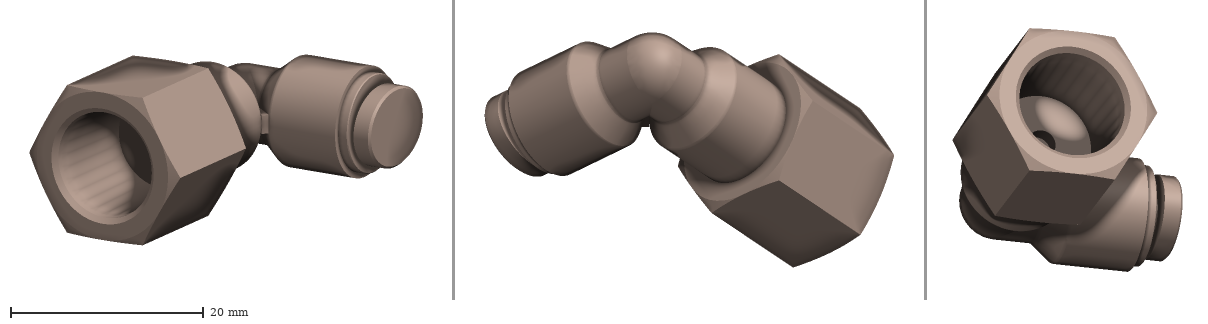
import cadquery as cq
import math


overall_length = 34.45

bend_diameter = 8.13
arm_diameter = 11.9
cone_start = 4.0
cone_end = 6.48
cone_blend_radius = 0.5
outlet_arm_length = 14.57
inlet_arm_length = 14.5
web_thickness = 2.0

nut_across_flats = 16.0
nut_edge_angle = 20
socket_mouth_diameter = 12.47
socket_thread_diameter = 11.4
socket_floor_diameter = 10.68
socket_depth = 12.0
socket_mouth_chamfer = 0.5
passage_diameter = 3.0

collar_diameter = 10.6
collar_length = 1.15
collar_edge_chamfer = 0.1

neck_diameter = 5.5
neck_length = 0.8
button_width = 10.82
button_height = 8.6
button_thickness = 2.0
button_edge_chamfer = 0.25

bend_radius = bend_diameter / 2
arm_radius = arm_diameter / 2
collar_end = outlet_arm_length + collar_length
button_start = collar_end + neck_length
nut_end = overall_length - arm_radius
nut_length = nut_end - inlet_arm_length


def make_arm(length):
    """Stepped arm along +X, with its narrow end at the bend centre."""
    arm = (
        cq.Workplane("XY")
        .polyline([
            (0, 0),
            (0, bend_radius),
            (cone_start, bend_radius),
            (cone_end, arm_radius),
            (length, arm_radius),
            (length, 0),
        ])
        .close()
        .revolve(360, (0, 0, 0), (1, 0, 0))
    )
    cone_edges = cq.selectors.BoxSelector(
        (cone_start - cone_blend_radius, -arm_diameter, -arm_diameter),
        (cone_end + cone_blend_radius, arm_diameter, arm_diameter),
    )
    return arm.edges(cone_edges).fillet(cone_blend_radius)


def make_web():
    """Thin plate that fills the inside corner between the two cones."""
    return (
        cq.Workplane("XY")
        .polyline([
            (0, 0),
            (cone_end, -arm_radius),
            (arm_radius, -cone_end),
        ])
        .close()
        .extrude(web_thickness / 2, both=True)
    )


def make_elbow():
    """Two mitred arms, rounded on the outside of the bend by a ball."""
    outlet_arm = make_arm(outlet_arm_length)
    inlet_arm = make_arm(inlet_arm_length).rotate((0, 0, 0), (0, 0, 1), -90)
    ball = cq.Workplane("XY").sphere(bend_radius)
    return outlet_arm.union(inlet_arm).union(ball).union(make_web())


def make_nut():
    """Hex nut with chamfered corners and a tapered socket open towards -Y."""
    nut_plane = cq.Workplane("XZ", origin=(0, -inlet_arm_length, 0))
    corner_radius = nut_across_flats / math.sqrt(3)
    hexagon = nut_plane.polygon(6, 2 * corner_radius).extrude(nut_length)

    flat_radius = nut_across_flats / 2
    edge_drop = (corner_radius - flat_radius) * math.tan(math.radians(nut_edge_angle))
    corner_turning = (
        cq.Workplane("XY")
        .polyline([
            (0, -inlet_arm_length),
            (flat_radius, -inlet_arm_length),
            (corner_radius, -inlet_arm_length - edge_drop),
            (corner_radius, -nut_end + edge_drop),
            (flat_radius, -nut_end),
            (0, -nut_end),
        ])
        .close()
        .revolve(360, (0, 0, 0), (0, 1, 0))
    )

    socket_floor = -nut_end + socket_depth
    socket = (
        cq.Workplane("XY")
        .polyline([
            (0, -nut_end),
            (socket_mouth_diameter / 2, -nut_end),
            (socket_thread_diameter / 2, -nut_end + socket_mouth_chamfer),
            (socket_floor_diameter / 2, socket_floor),
            (0, socket_floor),
        ])
        .close()
        .revolve(360, (0, 0, 0), (0, 1, 0))
    )
    passage = nut_plane.circle(passage_diameter / 2).extrude(nut_length)
    return hexagon.intersect(corner_turning).cut(socket).cut(passage)


def make_collar():
    """Round stepped disc on the end of the outlet arm, with a chamfered outer edge."""
    return (
        cq.Workplane("YZ", origin=(outlet_arm_length, 0, 0))
        .circle(collar_diameter / 2)
        .extrude(collar_length)
        .faces(">X")
        .chamfer(collar_edge_chamfer)
    )


def make_button():
    """Oval release button on a round neck."""
    neck = (
        cq.Workplane("YZ", origin=(collar_end, 0, 0))
        .circle(neck_diameter / 2)
        .extrude(neck_length)
    )
    head = (
        cq.Workplane("YZ", origin=(button_start, 0, 0))
        .ellipse(button_width / 2, button_height / 2)
        .extrude(button_thickness)
        .faces(">X")
        .chamfer(button_edge_chamfer)
    )
    return head.union(neck)


elbow = make_elbow()
nut = make_nut()
collar = make_collar()
button = make_button()

result = cq.Compound.makeCompound([elbow.val(), nut.val(), collar.val(), button.val()])